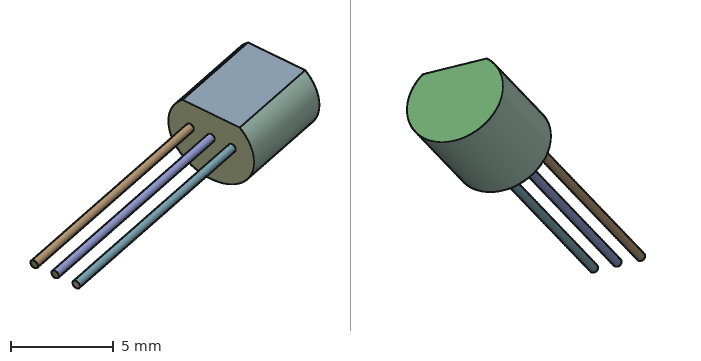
import cadquery as cq


body_width = 5.2
body_half_height = 2.4
flat_height = 1.79
body_length = 5.33

lead_count = 3
lead_pitch = 1.27
lead_diameter = 0.457
lead_length = 12.7
lead_height = 0.26


def make_body():
    """Elliptical cylinder from the lead face toward +Y, cut flat on top."""
    cylinder = (
        cq.Workplane("XZ")
        .ellipse(body_width / 2, body_half_height)
        .extrude(-body_length)
    )
    above_flat = (
        cq.Workplane("XY")
        .workplane(offset=flat_height)
        .center(0, body_length / 2)
        .rect(body_width, body_length)
        .extrude(body_half_height)
    )
    return cylinder.cut(above_flat)


def make_lead(x):
    """Round lead that meets the body's lead face and runs toward -Y."""
    return (
        cq.Workplane("XZ")
        .center(x, lead_height)
        .circle(lead_diameter / 2)
        .extrude(lead_length)
    )


body = make_body()

leads = []
for index in range(lead_count):
    lead_x = (index - (lead_count - 1) / 2) * lead_pitch
    leads.append(make_lead(lead_x))

result = cq.Compound.makeCompound([body.val(), *[lead.val() for lead in leads]])